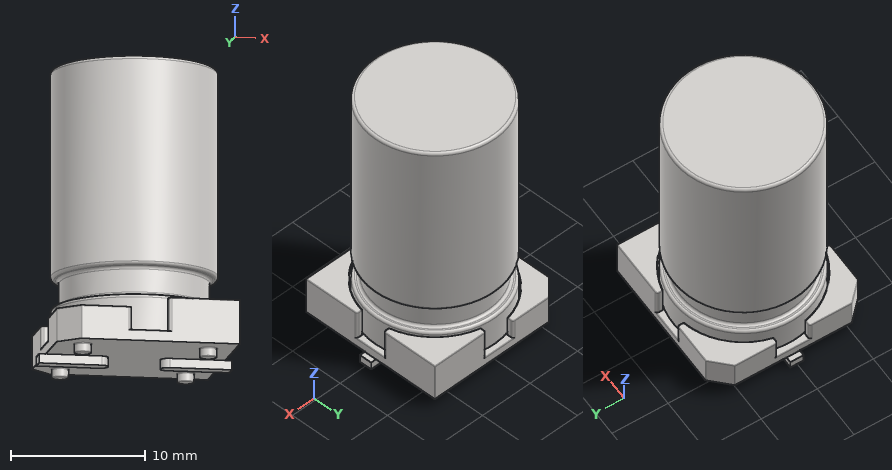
import cadquery as cq

total_height = 22.5
base_width = 13.6
terminal_span = 14.6

can_radius = 6.25
neck_radius = 5.62
neck_bottom = 4.39
neck_top = 6.64
can_rounding = 0.25

base_bottom = 0.7
notch_floor = 1.5
low_wall_top = 3.25
high_wall_top = 4.05
pocket_radius = 6.4
notch_width = 2.84
notch_mouth_radius = 0.2
corner_chamfer = 1.58
edge_rounding = 0.05

terminal_width = 1.2
terminal_gap = 3.95
foot_diameter = 1.25
foot_offset = 4.75
foot_rounding = 0.07

base_half = base_width / 2
notch_half = notch_width / 2


def make_can():
    """Turned can: a sleeve with a rolled groove near its lower end."""
    r = can_rounding
    sleeve = (
        cq.Workplane("XY")
        .workplane(offset=neck_top)
        .circle(can_radius)
        .extrude(total_height - neck_top)
        .edges()
        .fillet(r)
    )
    lower = (
        cq.Workplane("XY")
        .workplane(offset=base_bottom)
        .circle(can_radius)
        .extrude(neck_bottom - base_bottom)
        .faces(">Z")
        .edges()
        .fillet(r)
    )
    neck = (
        cq.Workplane("XZ")
        .moveTo(0, neck_bottom)
        .lineTo(neck_radius + r, neck_bottom)
        .radiusArc((neck_radius, neck_bottom + r), r)
        .lineTo(neck_radius, neck_top - r)
        .radiusArc((neck_radius + r, neck_top), r)
        .lineTo(0, neck_top)
        .close()
        .revolve(360, (0, 0, 0), (0, 1, 0))
    )
    return lower.union(neck).union(sleeve)


def make_base_block(height):
    """Square block with both -X corners cut off and its upright edges slightly rounded."""
    return (
        cq.Workplane("XY")
        .workplane(offset=base_bottom)
        .rect(base_width, base_width)
        .extrude(height)
        .edges("|Z and <X")
        .chamfer(corner_chamfer)
        .edges("|Z")
        .fillet(edge_rounding)
    )


def make_corner_wall(side_x, side_y):
    """Wall filling one corner of the base between two notches and the can pocket.

    The walls on the -X side are lower than those on the +X side.
    """
    top = low_wall_top if side_x < 0 else high_wall_top
    size = base_half - notch_half
    middle = notch_half + size / 2
    quadrant = (
        cq.Workplane("XY")
        .workplane(offset=base_bottom)
        .center(side_x * middle, side_y * middle)
        .rect(size, size)
        .extrude(top - base_bottom)
    )
    wall = make_base_block(top - base_bottom).intersect(quadrant)
    mouth_points = [
        (side_x * notch_half, side_y * base_half),
        (side_x * base_half, side_y * notch_half),
    ]
    for x, y in mouth_points:
        mouth_edge = cq.selectors.NearestToPointSelector((x, y, (base_bottom + top) / 2))
        wall = wall.edges(mouth_edge).fillet(notch_mouth_radius)
    pocket = cq.Workplane("XY").circle(pocket_radius).extrude(total_height)
    return wall.cut(pocket).faces(">Z").edges().fillet(edge_rounding)


def make_base():
    """Floor slab with a wall on each corner, leaving a notch in the middle of each side."""
    base = make_base_block(notch_floor - base_bottom).faces(">Z").edges().fillet(edge_rounding)
    for side_x in (-1, 1):
        for side_y in (-1, 1):
            base = base.union(make_corner_wall(side_x, side_y))
    return base


def make_terminal(side):
    """Flat lead with a square outer end and a fully rounded inner end."""
    end_radius = terminal_width / 2
    inner = side * terminal_gap / 2
    round_start = inner + side * end_radius
    outer = side * terminal_span / 2
    return (
        cq.Workplane("XY")
        .moveTo(outer, -end_radius)
        .lineTo(round_start, -end_radius)
        .threePointArc((inner, 0), (round_start, end_radius))
        .lineTo(outer, end_radius)
        .close()
        .extrude(base_bottom)
    )


def make_foot(x, y):
    """Round foot with a rounded tip and a concave round where it meets the base."""
    radius = foot_diameter / 2
    r = foot_rounding
    return (
        cq.Workplane("XZ")
        .lineTo(radius - r, 0)
        .radiusArc((radius, r), -r)
        .lineTo(radius, base_bottom - r)
        .radiusArc((radius + r, base_bottom), r)
        .lineTo(0, base_bottom)
        .close()
        .revolve(360, (0, 0, 0), (0, 1, 0))
        .translate((x, y, 0))
    )


result = make_can().union(make_base())
for side_x in (-1, 1):
    result = result.union(make_terminal(side_x))
    for side_y in (-1, 1):
        result = result.union(make_foot(side_x * foot_offset, side_y * foot_offset))